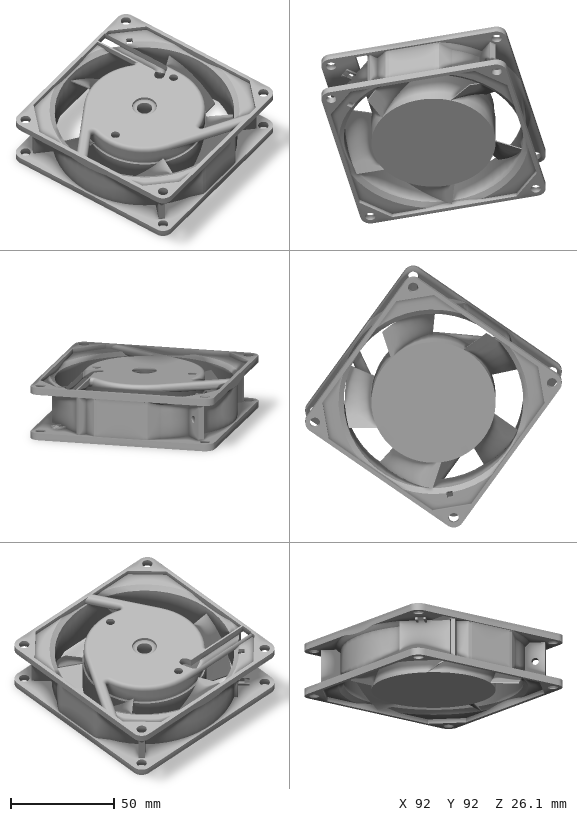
import cadquery as cq
import math


SIDE = 92.0
HEIGHT = 26.1
FLANGE = 3.5
CORNER_RADIUS = 5.0
SCREW_OFFSET = 41.2
SCREW_HOLE_DIAMETER = 5.0
TOP_FLANGE_BOTTOM = HEIGHT - FLANGE

RECESS_HALF = 44.1
RECESS_CHAMFER = 13.2
RECESS_DEPTH = 2.2
RECESS_FLOOR = HEIGHT - RECESS_DEPTH

BORE_RADIUS = 43.5
BARREL_RADIUS = 45.0
FLARE_TOP_RADIUS = 46.0
FLARE_RISE = 1.75
OUTER_FLARE_RISE = 2.2
OUTER_FLARE_RADIUS = BARREL_RADIUS + OUTER_FLARE_RISE

PAD_FACE = 45.2
PAD_HALF_WIDTH = 11.5
PAD_EDGE_X = 44.9
PAD_EDGE_Y = 13.3
PAD_FOOT_X = 40.7
PAD_FOOT_Y = 19.1

RIB_WIDTH = 3.1
RIB_REACH = 54.7
RIB_START = 44.2
CROSS_HOLE_DIAMETER = 3.5
CROSS_HOLE_REACH = 49.9
RIB_ANGLES = (45, 225, 315)
CROSS_HOLE_ANGLE = 225

CABLE_ANGLE = 135
CABLE_ROOT_REACH = 36.8
CABLE_FLAT_REACH = 45.45
CABLE_FLAT_START = -13.8
CABLE_FLAT_END = 10.9
FLARE_GAP_START = -23.0
FIN_REACH = 46.5
FIN_OUTER_SIDE = -16.5
FIN_THICKNESS = 2.0
CLIP_REACH = 50.9
CLIP_WIDTH = 5.15
CLIP_HEIGHT = 1.1
TIE_HOLE = 3.0

CUP_RADIUS = 29.4
CUP_INNER_RADIUS = 27.6
CUP_BOTTOM = 17.2
CUP_PLATE = 3.9
CUP_FILLET = 2.0
BEARING_HOLE_DIAMETER = 7.4
BEARING_RECESS_DIAMETER = 12.0
BEARING_RECESS_DEPTH = 1.4
MOTOR_SCREW_DIAMETER = 4.3
MOTOR_SCREW_OFFSET = 23.9

SPOKE_WIDTH = 5.4
CABLE_SPOKE_WIDTH = 7.7
SPOKE_WIDTHS = (CABLE_SPOKE_WIDTH, SPOKE_WIDTH, SPOKE_WIDTH)
SPOKE_HEIGHT = 4.4
SPOKE_PITCH = 120.0
SPOKE_LENGTH = 55.2
SPOKE_BOTTOM_FILLET = 1.8
SPOKE_ROOT_RADIUS = 1.0
SPOKE_BOTTOM = HEIGHT - SPOKE_HEIGHT

CHANNEL_OUTER_Y = 28.6
CHANNEL_WIDTH = 6.1
CHANNEL_END_X = -44.5
ENTRY_RADIUS = 2.5
ENTRY_X = -6.6
ENTRY_Y = 21.25
ENTRY_LENGTH = 5.0
ENTRY_TILT = 20.0

HUB_RADIUS = 30.1
HUB_BOTTOM = 0.9
HUB_TOP = 16.6
BLADE_COUNT = 5
BLADE_ROOT_RADIUS = 29.7
BLADE_TIP_RADIUS = 43.0
BLADE_TOP = 19.0
BLADE_HEIGHT = 0.6
BLADE_LOW = HUB_BOTTOM + BLADE_HEIGHT
TIP_ANGLES = (110.0, 73.3)
ROOT_ANGLES = (108.0, 65.2)
CURVE_STEPS = 8


def cylinder(radius, bottom, top):
    return cq.Workplane("XY").workplane(offset=bottom).circle(radius).extrude(top - bottom)


def cone(bottom_radius, top_radius, bottom, top):
    profile = [(0, bottom), (bottom_radius, bottom), (top_radius, top), (0, top)]
    return cq.Workplane("XZ").polyline(profile).close().revolve(360, (0, 0, 0), (0, 1, 0))


def block(x_range, y_range, z_range):
    sizes = [high - low for low, high in (x_range, y_range, z_range)]
    return (
        cq.Workplane("XY")
        .box(*sizes, centered=False)
        .translate((x_range[0], y_range[0], z_range[0]))
    )


def polar(radius, angle):
    return radius * math.cos(math.radians(angle)), radius * math.sin(math.radians(angle))


def turned(shape, angle):
    return shape.rotate((0, 0, 0), (0, 0, 1), angle)


def cable_corner_block(reach_range, side_range, z_range):
    """Block placed by its reach along the (-X, +Y) diagonal and its offset across it."""
    across = (-side_range[1], -side_range[0])
    return turned(block(reach_range, across, z_range), CABLE_ANGLE)


def octagon(bottom, top):
    side = 2 * RECESS_HALF
    return (
        cq.Workplane("XY")
        .workplane(offset=bottom)
        .rect(side, side)
        .extrude(top - bottom)
        .edges("|Z")
        .chamfer(RECESS_CHAMFER)
    )


def flange(bottom):
    return (
        cq.Workplane("XY")
        .workplane(offset=bottom)
        .rect(SIDE, SIDE)
        .extrude(FLANGE)
        .edges("|Z")
        .fillet(CORNER_RADIUS)
        .faces(">Z")
        .workplane()
        .rect(2 * SCREW_OFFSET, 2 * SCREW_OFFSET, forConstruction=True)
        .vertices()
        .hole(SCREW_HOLE_DIAMETER)
    )


def side_pads():
    """Flat-faced pads that run across the barrel from -X to +X."""
    quarter = [(PAD_FACE, PAD_HALF_WIDTH), (PAD_EDGE_X, PAD_EDGE_Y), (PAD_FOOT_X, PAD_FOOT_Y)]
    upper_half = quarter + [(-x, y) for x, y in reversed(quarter)]
    lower_half = [(-x, -y) for x, y in upper_half]
    return cq.Workplane("XY").polyline(upper_half + lower_half).close().extrude(TOP_FLANGE_BOTTOM)


def outer_flare():
    """Flare under the top flange, left out between the -X pad and the end of the cable flat."""
    flare_bottom = TOP_FLANGE_BOTTOM - OUTER_FLARE_RISE
    flare = cone(BARREL_RADIUS, OUTER_FLARE_RADIUS, flare_bottom, TOP_FLANGE_BOTTOM)
    gap_sides = (FLARE_GAP_START, CABLE_FLAT_END)
    return flare.cut(cable_corner_block((BARREL_RADIUS / 2, SIDE), gap_sides, (0, HEIGHT)))


def barrel_outside():
    """Barrel with its flare, pads and cable corner, before it is bored."""
    between = (FLANGE, TOP_FLANGE_BOTTOM)
    body = cylinder(BARREL_RADIUS, 0, TOP_FLANGE_BOTTOM).union(outer_flare()).union(side_pads())
    limits = block((-PAD_FACE, PAD_FACE), (-SIDE / 2, SIDE / 2), (0, TOP_FLANGE_BOTTOM))
    body = body.intersect(limits)
    flat_sides = (CABLE_FLAT_START, CABLE_FLAT_END)
    body = body.union(cable_corner_block((CABLE_ROOT_REACH, CABLE_FLAT_REACH), flat_sides, between))
    fin_sides = (FIN_OUTER_SIDE, FIN_OUTER_SIDE + FIN_THICKNESS)
    return body.union(cable_corner_block((CABLE_ROOT_REACH, FIN_REACH), fin_sides, between))


def corner_ribs():
    """Radial ribs between the flanges in every corner but the cable corner."""
    rib = block((RIB_START, RIB_REACH), (-RIB_WIDTH / 2, RIB_WIDTH / 2), (0, TOP_FLANGE_BOTTOM))
    ribs = turned(rib, RIB_ANGLES[0])
    for angle in RIB_ANGLES[1:]:
        ribs = ribs.union(turned(rib, angle))
    return ribs


def cross_hole():
    drill = (
        cq.Workplane("XZ")
        .center(CROSS_HOLE_REACH, HEIGHT / 2)
        .circle(CROSS_HOLE_DIAMETER / 2)
        .extrude(RIB_WIDTH, both=True)
    )
    return turned(drill, CROSS_HOLE_ANGLE)


def clip(bottom, ramp_is_up):
    """Cable-tie clip on a flange, with a ramp that leads into its tie hole."""
    half = CLIP_WIDTH / 2
    body = cable_corner_block(
        (RIB_START, CLIP_REACH), (-half, half), (bottom, bottom + CLIP_HEIGHT)
    )
    ramp_start = CABLE_FLAT_REACH + TIE_HOLE
    flange_level, face_level = (0, CLIP_HEIGHT) if ramp_is_up else (CLIP_HEIGHT, 0)
    ramp = (
        cq.Workplane("XZ")
        .polyline([(ramp_start, face_level), (CLIP_REACH, face_level), (CLIP_REACH, flange_level)])
        .close()
        .extrude(TIE_HOLE / 2, both=True)
    )
    return body.cut(turned(ramp, CABLE_ANGLE).translate((0, 0, bottom)))


def tie_hole():
    reaches = (CABLE_FLAT_REACH, CABLE_FLAT_REACH + TIE_HOLE)
    return cable_corner_block(reaches, (-TIE_HOLE / 2, TIE_HOLE / 2), (0, HEIGHT))


def top_opening():
    """Octagonal recess in the top flange and the flare that leads into the bore."""
    flare = cone(BORE_RADIUS, FLARE_TOP_RADIUS, RECESS_FLOOR - FLARE_RISE, RECESS_FLOOR)
    return flare.intersect(octagon(0, HEIGHT)).union(octagon(RECESS_FLOOR, HEIGHT))


def make_frame():
    body = barrel_outside().union(corner_ribs()).cut(cross_hole())
    body = body.union(flange(0)).union(flange(TOP_FLANGE_BOTTOM))
    body = body.union(clip(FLANGE, True)).union(clip(TOP_FLANGE_BOTTOM - CLIP_HEIGHT, False))
    body = body.cut(tie_hole())
    bottom_opening = top_opening().mirror("XY").translate((0, 0, HEIGHT))
    return body.cut(cylinder(BORE_RADIUS, 0, HEIGHT)).cut(top_opening()).cut(bottom_opening)


def spoke_limits():
    """Space inside the frame that the spokes may fill."""
    return barrel_outside().union(octagon(TOP_FLANGE_BOTTOM, HEIGHT))


def inner_offset(width):
    """Distance from the axis to the inner side of a spoke."""
    return CUP_RADIUS - width


def root_angle(index):
    """Angle at which the inner side of a spoke meets the cup."""
    side_angle = math.degrees(math.asin(inner_offset(SPOKE_WIDTHS[index]) / CUP_RADIUS))
    return 180 - side_angle + index * SPOKE_PITCH


def spoke_end(index, offset):
    """Outer corner of a spoke, on the side that lies at this offset from the axis."""
    angle = 180 - math.degrees(math.atan2(offset, SPOKE_LENGTH))
    return polar(math.hypot(SPOKE_LENGTH, offset), angle + index * SPOKE_PITCH)


def cup_and_spoke_outline():
    """Cup circle with the spokes leaving it, each with its outer side tangent to the cup."""
    outline = cq.Workplane("XY").workplane(offset=SPOKE_BOTTOM).moveTo(0, CUP_RADIUS)
    for index, width in enumerate(SPOKE_WIDTHS):
        arc_start = root_angle(index)
        arc_end = 90 + (index + 1) * SPOKE_PITCH
        outline = (
            outline.lineTo(*spoke_end(index, CUP_RADIUS))
            .lineTo(*spoke_end(index, inner_offset(width)))
            .lineTo(*polar(CUP_RADIUS, arc_start))
            .threePointArc(
                polar(CUP_RADIUS, (arc_start + arc_end) / 2), polar(CUP_RADIUS, arc_end)
            )
        )
    return outline.close()


def cable_spoke_edge():
    """Strip that keeps the inner top edge of the cable spoke square."""
    y = inner_offset(CABLE_SPOKE_WIDTH)
    end_x = -math.sqrt((CUP_RADIUS - CUP_FILLET) ** 2 - y**2)
    return block((-SPOKE_LENGTH, end_x), (y, y + CUP_FILLET), (HEIGHT - CUP_FILLET, HEIGHT))


def make_cup_with_spokes():
    spokes = cup_and_spoke_outline().extrude(SPOKE_HEIGHT)
    for index in range(len(SPOKE_WIDTHS)):
        root = polar(CUP_RADIUS, root_angle(index))
        root_edge = cq.selectors.NearestToPointSelector((*root, HEIGHT - SPOKE_HEIGHT / 2))
        spokes = spokes.edges(root_edge).fillet(SPOKE_ROOT_RADIUS)
    spokes = spokes.faces(">Z").edges().fillet(CUP_FILLET)
    spokes = spokes.faces("<Z").edges().fillet(SPOKE_BOTTOM_FILLET)
    cup = cylinder(CUP_RADIUS, CUP_BOTTOM, HEIGHT - CUP_FILLET)
    return spokes.union(cup).union(cable_spoke_edge()).intersect(spoke_limits())


def cable_channel():
    """Channel along the cable spoke and the rounded entry through the cup plate."""
    tilt = math.radians(ENTRY_TILT)
    far_x = ENTRY_X - ENTRY_LENGTH * math.sin(tilt)
    far_y = ENTRY_Y + ENTRY_LENGTH * math.cos(tilt)
    floor = HEIGHT - CUP_PLATE
    trench = block(
        (CHANNEL_END_X, far_x), (CHANNEL_OUTER_Y - CHANNEL_WIDTH, CHANNEL_OUTER_Y), (floor, HEIGHT)
    )
    entry = (
        cq.Workplane("XY")
        .workplane(offset=floor)
        .center((ENTRY_X + far_x) / 2, (ENTRY_Y + far_y) / 2)
        .slot2D(ENTRY_LENGTH + 2 * ENTRY_RADIUS, 2 * ENTRY_RADIUS, 90 + ENTRY_TILT)
        .extrude(CUP_PLATE)
    )
    return trench.union(entry)


def cup_openings():
    openings = cylinder(CUP_INNER_RADIUS, CUP_BOTTOM, HEIGHT - CUP_PLATE)
    openings = openings.cut(cylinder(BEARING_RECESS_DIAMETER / 2, CUP_BOTTOM, HEIGHT))
    openings = openings.union(cylinder(BEARING_HOLE_DIAMETER / 2, CUP_BOTTOM, HEIGHT))
    recess = cylinder(BEARING_RECESS_DIAMETER / 2, HEIGHT - BEARING_RECESS_DEPTH, HEIGHT)
    openings = openings.union(recess)
    screw = cylinder(MOTOR_SCREW_DIAMETER / 2, CUP_BOTTOM, HEIGHT)
    for y in (-MOTOR_SCREW_OFFSET, MOTOR_SCREW_OFFSET):
        openings = openings.union(screw.translate((0, y, 0)))
    return openings


def make_housing():
    return make_frame().union(make_cup_with_spokes()).cut(cup_openings()).cut(cable_channel())


def blade_edge(radius, angles):
    """Helical edge that falls evenly from the blade top to its low end."""
    points = []
    for step in range(CURVE_STEPS + 1):
        part = step / CURVE_STEPS
        angle = math.radians(angles[0] + part * (angles[1] - angles[0]))
        height = BLADE_TOP + part * (BLADE_LOW - BLADE_TOP)
        points.append(cq.Vector(radius * math.cos(angle), radius * math.sin(angle), height))
    return cq.Edge.makeSpline(points)


def make_blade():
    root = blade_edge(BLADE_ROOT_RADIUS, ROOT_ANGLES)
    tip = blade_edge(BLADE_TIP_RADIUS, TIP_ANGLES)
    upper_face = cq.Face.makeRuledSurface(root, tip)
    return cq.Workplane(cq.Solid.extrudeLinear(upper_face, cq.Vector(0, 0, -BLADE_HEIGHT)))


def make_impeller():
    impeller = cylinder(HUB_RADIUS, HUB_BOTTOM, HUB_TOP)
    blade = make_blade()
    for index in range(BLADE_COUNT):
        impeller = impeller.union(turned(blade, index * 360 / BLADE_COUNT))
    return impeller


housing = make_housing()
impeller = make_impeller()
result = cq.Compound.makeCompound([*housing.vals(), *impeller.vals()])